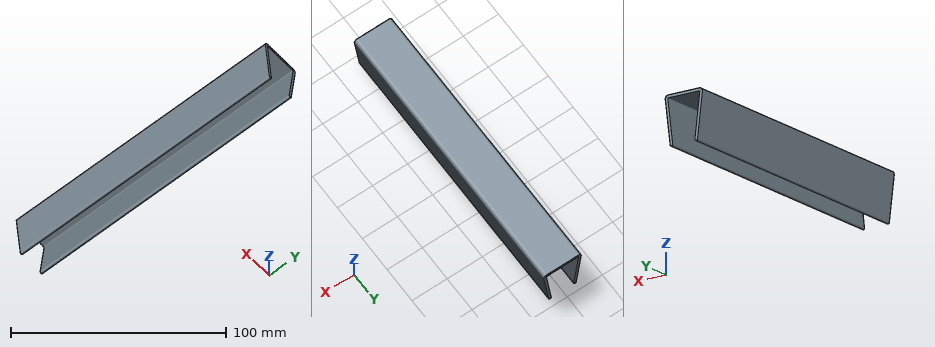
import cadquery as cq
import math

width = 21.3
length = 152.4
height = 25.5

wall = 1.5
bend_outer_radius = 1.8
bend_inner_radius = bend_outer_radius - wall
lean_degrees = 7.0
tip_radius = wall / 2

lean = math.radians(lean_degrees)
outward = (math.cos(lean), -math.sin(lean))
downward = (-math.sin(lean), -math.cos(lean))

bend_center = (width / 2 - bend_outer_radius, height - bend_outer_radius)
mid_radius = bend_outer_radius - tip_radius
leg_length = (bend_center[1] + mid_radius * outward[1] - tip_radius) / math.cos(lean)


def bend_point(radius, degrees):
    """Point on the right bend, measured counter-clockwise from +X."""
    angle = math.radians(degrees)
    return (bend_center[0] + radius * math.cos(angle), bend_center[1] + radius * math.sin(angle))


def along_leg(radius, distance):
    """Point on the right leg, offset outward by radius and down by distance."""
    return (
        bend_center[0] + radius * outward[0] + distance * downward[0],
        bend_center[1] + radius * outward[1] + distance * downward[1],
    )


def mirrored(point):
    return (-point[0], point[1])


bend_middle_degrees = (90 - lean_degrees) / 2
outer_top = bend_point(bend_outer_radius, 90)
outer_middle = bend_point(bend_outer_radius, bend_middle_degrees)
outer_side = bend_point(bend_outer_radius, -lean_degrees)
inner_top = bend_point(bend_inner_radius, 90)
inner_middle = bend_point(bend_inner_radius, bend_middle_degrees)
inner_side = bend_point(bend_inner_radius, -lean_degrees)
tip_outer = along_leg(bend_outer_radius, leg_length)
tip_end = along_leg(mid_radius, leg_length + tip_radius)
tip_inner = along_leg(bend_inner_radius, leg_length)

profile = (
    cq.Workplane("XZ", origin=(0, length / 2, 0))
    .moveTo(*mirrored(outer_top))
    .lineTo(*outer_top)
    .threePointArc(outer_middle, outer_side)
    .lineTo(*tip_outer)
    .threePointArc(tip_end, tip_inner)
    .lineTo(*inner_side)
    .threePointArc(inner_middle, inner_top)
    .lineTo(*mirrored(inner_top))
    .threePointArc(mirrored(inner_middle), mirrored(inner_side))
    .lineTo(*mirrored(tip_inner))
    .threePointArc(mirrored(tip_end), mirrored(tip_outer))
    .lineTo(*mirrored(outer_side))
    .threePointArc(mirrored(outer_middle), mirrored(outer_top))
    .close()
)

result = profile.extrude(length)